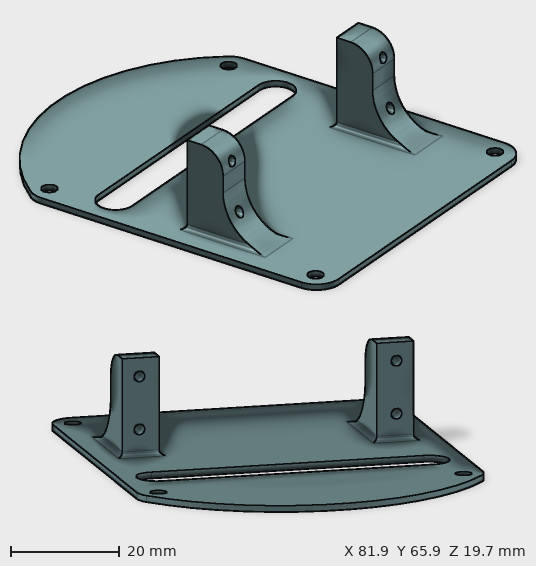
import cadquery as cq

length = 81.9
width = 65.9
plate_thickness = 1.2
corner_radius = 5.0
nose_radius = 40.0

screw_diameter = 3.0
screw_left_x = -22.8
screw_right_x = 36.5
screw_y = 29.1

slot_x = -10.2
slot_length = 59.4
slot_width = 7.5

total_height = 19.7
bracket_front_x = 6.95
bracket_thickness = 8.0
bracket_width = 7.0
bracket_y = 24.2
top_radius = 5.0
back_radius = 10.0
foot_radius = 1.0

pin_diameter = 2.0
pin_y = 24.5
pin_heights = (6.2, 16.2)


def make_plate():
    """Rectangle whose left end is rounded to a large arc, with softened corners."""
    half_length = length / 2
    half_width = width / 2
    nose_center_x = nose_radius - half_length
    nose_corner_x = nose_center_x - (nose_radius**2 - half_width**2) ** 0.5
    outline = (
        cq.Workplane("XY")
        .moveTo(nose_corner_x, -half_width)
        .lineTo(half_length, -half_width)
        .lineTo(half_length, half_width)
        .lineTo(nose_corner_x, half_width)
        .threePointArc((-half_length, 0), (nose_corner_x, -half_width))
        .close()
    )
    return outline.extrude(plate_thickness).edges("|Z").fillet(corner_radius)


def cut_plate_openings(plate):
    screw_points = [(x, y) for x in (screw_left_x, screw_right_x) for y in (-screw_y, screw_y)]
    screws = cq.Workplane("XY").pushPoints(screw_points).circle(screw_diameter / 2).extrude(plate_thickness)
    slot = cq.Workplane("XY").center(slot_x, 0).slot2D(slot_length, slot_width, 90).extrude(plate_thickness)
    return plate.cut(screws).cut(slot)


def make_bracket(side):
    """Upright with a swept back and a concave foot; side is +1 or -1 along Y."""
    back_x = bracket_front_x + bracket_thickness
    tail_x = back_x + back_radius
    foot_x = bracket_front_x - foot_radius
    foot_top = plate_thickness + foot_radius
    half_width = bracket_width / 2
    half_foot = half_width + foot_radius

    side_outline = (
        cq.Workplane("XZ", origin=(0, side * bracket_y, 0))
        .moveTo(foot_x, 0)
        .lineTo(foot_x, plate_thickness)
        .radiusArc((bracket_front_x, foot_top), -foot_radius)
        .lineTo(bracket_front_x, total_height)
        .lineTo(back_x - top_radius, total_height)
        .radiusArc((back_x, total_height - top_radius), top_radius)
        .lineTo(back_x, plate_thickness + back_radius)
        .radiusArc((tail_x, plate_thickness), -back_radius)
        .lineTo(tail_x, 0)
        .close()
        .extrude(half_foot, both=True)
    )

    front_outline = (
        cq.Workplane("YZ", origin=(foot_x, side * bracket_y, 0))
        .moveTo(-half_foot, 0)
        .lineTo(-half_foot, plate_thickness)
        .radiusArc((-half_width, foot_top), -foot_radius)
        .lineTo(-half_width, total_height)
        .lineTo(half_width, total_height)
        .lineTo(half_width, foot_top)
        .radiusArc((half_foot, plate_thickness), -foot_radius)
        .lineTo(half_foot, 0)
        .close()
        .extrude(tail_x - foot_x)
    )

    pin_points = [(side * pin_y, z) for z in pin_heights]
    pins = (
        cq.Workplane("YZ", origin=(foot_x, 0, 0))
        .pushPoints(pin_points)
        .circle(pin_diameter / 2)
        .extrude(tail_x - foot_x)
    )
    return side_outline.intersect(front_outline).cut(pins)


result = cut_plate_openings(make_plate())
for bracket_side in (-1, 1):
    result = result.union(make_bracket(bracket_side))